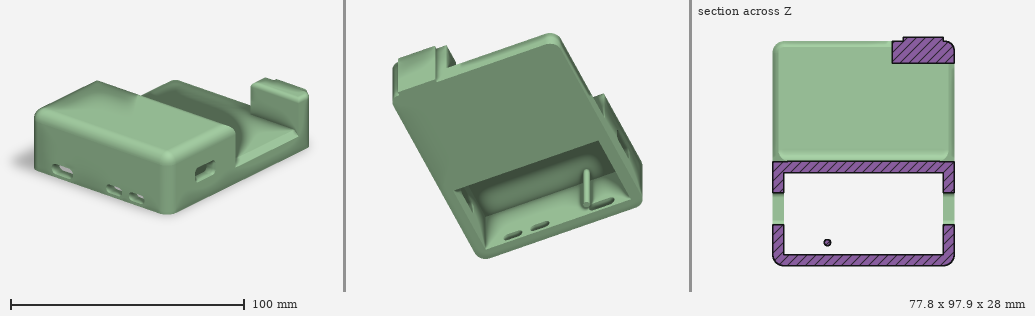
import cadquery as cq

body_width = 77.83
body_depth = 96.2
corner_radius = 5.0

box_depth = 44.7
box_height = 28.0
wall = 5.0

plate_height = 10.0
plate_chamfer = 2.5
cove_radius = 5.0

block_width = 26.8
block_depth = 9.65
block_height = 25.0
block_edge_radius = 2.0
block_corner_radius = 4.2
tongue_width = 17.4
tongue_offset = 4.7
tongue_projection = 1.7

slot_floor = 1.45
hdmi_slot = (18.6, 12.0, 4.87)
usb_slots = [(47.5, 9.0, 4.0), (60.1, 8.8, 4.0)]

power_center_y = 24.5
power_width = 13.5
power_floor = 9.3
power_height = 6.9
power_corner_radius = 2.0

peg_diameter = 2.87
peg_x = 23.5
peg_y = 10.0


def corner_box(x, y, width, depth, height):
    """Box standing on Z = 0 with its front left corner at (x, y)."""
    return cq.Workplane("XY").box(width, depth, height, centered=False).translate((x, y, 0))


def make_box():
    box = corner_box(0, 0, body_width, box_depth, box_height)
    box = box.edges("|Z and <Y").fillet(corner_radius)
    return box.faces(">Z").edges().fillet(corner_radius)


def make_plate():
    plate = corner_box(0, box_depth / 2, body_width, body_depth - box_depth / 2, plate_height)
    plate = plate.edges("|Z and >Y").fillet(corner_radius)
    return plate.faces(">Z").edges("not <Y").chamfer(plate_chamfer)


def make_cove():
    """Concave fillet between plate and box, its ends cut by the planes of the plate's side chamfers."""
    cove_top = plate_height + cove_radius
    cove_profile = (
        cq.Workplane("YZ")
        .moveTo(box_depth, plate_height)
        .lineTo(box_depth + cove_radius, plate_height)
        .radiusArc((box_depth, cove_top), cove_radius)
        .close()
    )
    cove = cove_profile.extrude(body_width)
    inset = plate_chamfer + cove_radius
    sloped_ends = (
        cq.Workplane("XZ")
        .moveTo(plate_chamfer, plate_height)
        .lineTo(body_width - plate_chamfer, plate_height)
        .lineTo(body_width - inset, cove_top)
        .lineTo(inset, cove_top)
        .close()
        .extrude(-body_depth)
    )
    return cove.intersect(sloped_ends)


def make_block():
    left = body_width - block_width
    front = body_depth - block_depth
    block = corner_box(left, front, block_width, block_depth, block_height)
    block = block.edges("|Z and >X and >Y").fillet(block_corner_radius)
    tongue_depth = block_depth / 2 + tongue_projection
    tongue = corner_box(
        left + tongue_offset, body_depth - block_depth / 2, tongue_width, tongue_depth, block_height
    )
    return block.union(tongue).faces(">Z").edges().fillet(block_edge_radius)


def make_cavity():
    """Space inside the box, open at the underside."""
    return corner_box(wall, wall, body_width - 2 * wall, box_depth - 2 * wall, box_height - wall)


def front_slot(center_x, width, height):
    """Round-ended slot through the front wall."""
    return (
        cq.Workplane("XZ", origin=(center_x, 0, slot_floor + height / 2))
        .slot2D(width, height)
        .extrude(-wall)
    )


def make_power_opening():
    opening = cq.Workplane("XY").box(body_width, power_width, power_height, centered=(False, True, False))
    opening = opening.edges("|X").fillet(power_corner_radius)
    return opening.translate((0, power_center_y, power_floor))


def make_peg():
    peg_height = box_height - wall / 2
    return cq.Workplane("XY").center(peg_x, peg_y).circle(peg_diameter / 2).extrude(peg_height)


result = make_box().union(make_plate()).union(make_cove()).union(make_block())
result = result.cut(make_cavity())
for slot in [hdmi_slot] + usb_slots:
    result = result.cut(front_slot(*slot))
result = result.cut(make_power_opening())
result = result.union(make_peg())